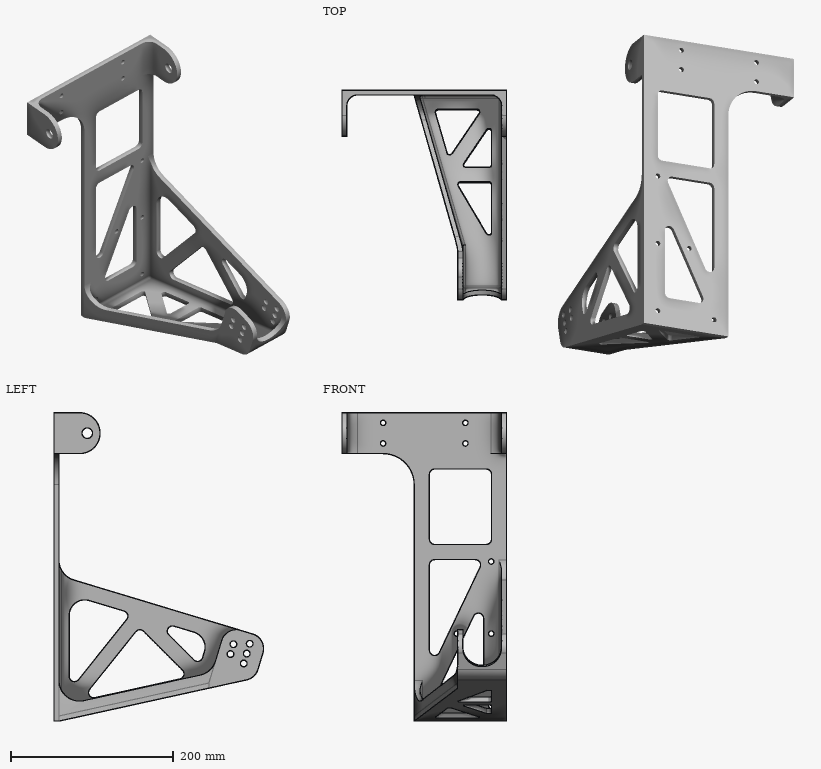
import cadquery as cq
import math


TOTAL_WIDTH = 203.45
TOTAL_REACH = 258.97
TOTAL_HEIGHT = 381.0

BACK_THICKNESS = 6.35
WALL_THICKNESS = 6.35
FLOOR_THICKNESS = 6.35
RIM = 19.05
RIGHT_RIM = 18.8
RIB_WIDTH = 18.4
WINDOW_RADIUS = 6.35
FLOOR_WINDOW_RADIUS = 3.175
INSIDE_FILLET = 3.175
TIP_RADIUS = 19.05
LARGE_RADIUS = 25.4

COLUMN_WIDTH = 114.3
HEAD_HEIGHT = 50.8
HEAD_CORNER_RADIUS = 38.1
EAR_REACH = 57.15
EAR_BEND_RADIUS = 12.7
EAR_HOLE_DIAMETER = 12.7
EAR_HOLE_REACH = 41.275
BOLT_DIAMETER = 6.35
HEAD_BOLT_SPACING_X = 101.6
HEAD_BOLT_SPACING_Z = 25.4
BIG_WINDOW_BOTTOM = 218.4
BACK_DIAGONAL_ANGLE = 64.5
BACK_DIAGONAL_X = -60.1
BACK_DIAGONAL_Z = 89.0
LOWER_WINDOW_BOTTOM = 38.1
LOWER_BOLT_X = 19.05
LOWER_BOLT_START = 19.05
LOWER_BOLT_PITCH = 89.05
MIDDLE_BOLT_X = 61.5

ARM_WIDTH = 60.5
ARM_ROOT_HEIGHT = 180.0
TOP_SLOPE = 16.8
FLOOR_SLOPE = 12.4
HINGE_SETBACK = 53.3
FLANGE_HEIGHT = 18.2
FRONT_WINDOW_SETBACK = 69.9
SIDE_DIAGONAL_ANGLE = 51.3
SIDE_DIAGONAL_REACH = 73.3
SIDE_DIAGONAL_HEIGHT = 75.6
SIDE_FALLING_ANGLE = -45.0
SIDE_FALLING_REACH = 134.9
SIDE_FALLING_HEIGHT = 86.8
TIP_HOLE_DIAMETER = 7.94
TIP_HOLE_PITCH = 12.7
TIP_HOLE_SETBACK = 19.05
SIDE_WINDOW_RADIUS = 19.05
CRADLE_DROP = 12.7
TWISTED_WALL_HEIGHT = 250.0

FLOOR_RIB_START = 92.3
FLOOR_DIAGONAL_ANGLE = 56.5
FLOOR_DIAGONAL_X = -34.9
FLOOR_DIAGONAL_REACH = 60.2
FLOOR_FRONT_ANGLE = 60.0
FLOOR_FRONT_X = -43.0
FLOOR_FRONT_REACH = 144.6



def shift(line, distance):
    """Move a line sideways, positive to the left of its direction."""
    x, y, angle = line
    a = math.radians(angle)
    return (x - distance * math.sin(a), y + distance * math.cos(a), angle)


def along(line, distance):
    """Point at a distance along a line from its start."""
    x, y, angle = line
    a = math.radians(angle)
    return (x + distance * math.cos(a), y + distance * math.sin(a))


def meet(first, second):
    """Crossing point of two lines."""
    x1, y1, angle1 = first
    x2, y2, angle2 = second
    a1 = math.radians(angle1)
    a2 = math.radians(angle2)
    run = ((x2 - x1) * math.sin(a2) - (y2 - y1) * math.cos(a2)) / math.sin(a2 - a1)
    return along(first, run)


def prism(plane, lines, radii, depth):
    """Extrude the loop bounded by successive lines; radii[i] rounds the corner of lines i and i+1."""
    count = len(lines)
    corners = [meet(lines[i], lines[(i + 1) % count]) for i in range(count)]
    solid = cq.Workplane(plane).polyline(corners).close().extrude(depth)
    for corner, radius in zip(corners, radii):
        if radius > 0:
            spot = plane.toWorldCoords((corner[0], corner[1], depth / 2))
            edge = cq.selectors.NearestToPointSelector(spot.toTuple())
            solid = solid.edges(edge).fillet(radius)
    return solid


def box(x_range, y_range, z_range):
    """Block between (low, high) limits on each axis."""
    sizes = [high - low for low, high in (x_range, y_range, z_range)]
    lows = (x_range[0], y_range[0], z_range[0])
    return cq.Workplane("XY").box(*sizes, centered=False).translate(lows)


def side_plane_at(x):
    """Plane at a given x, with reach and height as its axes; extrusion runs to the left."""
    return cq.Plane(origin=(x, 0, 0), xDir=(0, -1, 0), normal=(-1, 0, 0))


FRONT_PLANE = cq.Plane(origin=(0, 0, 0), xDir=(1, 0, 0), normal=(0, -1, 0))
SIDE_PLANE = side_plane_at(0)

slope = math.radians(TOP_SLOPE)
TOP_LINE = (BACK_THICKNESS, ARM_ROOT_HEIGHT, -TOP_SLOPE)
BOTTOM_LINE = (BACK_THICKNESS, 0, FLOOR_SLOPE)
FLOOR_TOP_LINE = shift(BOTTOM_LINE, FLOOR_THICKNESS)
FLANGE_TOP_LINE = shift(BOTTOM_LINE, FLANGE_HEIGHT)
BACK_LINE = (BACK_THICKNESS, 0, 90)
CEILING_LINE = (0, TWISTED_WALL_HEIGHT, 0)
TIP_CORNER_REACH = TOTAL_REACH + TIP_RADIUS * (math.cos(slope) + math.sin(slope) - 1)
TIP_CORNER = meet(TOP_LINE, (TIP_CORNER_REACH, 0, 90))
TIP_LINE = (*TIP_CORNER, 90 - TOP_SLOPE)
HINGE_LINE = shift(TIP_LINE, HINGE_SETBACK)
HINGE_FOOT = meet(HINGE_LINE, FLOOR_TOP_LINE)


def tip_point(setback, drop):
    """Point measured back along the top edge and square down from the tip corner."""
    return along(shift(TIP_LINE, setback), -drop)


def make_back_plate():
    """Wide head over a narrower column, with a rounded inner corner between them."""
    head = box((-TOTAL_WIDTH, 0), (-BACK_THICKNESS, 0), (TOTAL_HEIGHT - HEAD_HEIGHT, TOTAL_HEIGHT))
    column = box((-COLUMN_WIDTH, 0), (-BACK_THICKNESS, 0), (0, TOTAL_HEIGHT))
    corner = (-COLUMN_WIDTH, -BACK_THICKNESS / 2, TOTAL_HEIGHT - HEAD_HEIGHT)
    inner_corner = cq.selectors.NearestToPointSelector(corner)
    return head.union(column).edges(inner_corner).fillet(HEAD_CORNER_RADIUS)


def make_hanger_ears():
    """Two round-ended ears bent forward from the head, each with a pivot hole."""
    middle = TOTAL_HEIGHT - HEAD_HEIGHT / 2
    round_radius = HEAD_HEIGHT / 2
    ear_profile = (
        cq.Workplane(SIDE_PLANE)
        .moveTo(0, middle - round_radius)
        .lineTo(EAR_REACH - round_radius, middle - round_radius)
        .threePointArc((EAR_REACH, middle), (EAR_REACH - round_radius, middle + round_radius))
        .lineTo(0, middle + round_radius)
        .close()
        .extrude(TOTAL_WIDTH)
    )
    gap = box(
        (-TOTAL_WIDTH + WALL_THICKNESS, -WALL_THICKNESS),
        (-TOTAL_REACH, -BACK_THICKNESS),
        (0, TOTAL_HEIGHT),
    )
    gap = gap.edges("|Z and >Y").fillet(EAR_BEND_RADIUS)
    hole = (
        cq.Workplane(SIDE_PLANE)
        .center(EAR_HOLE_REACH, middle)
        .circle(EAR_HOLE_DIAMETER / 2)
        .extrude(TOTAL_WIDTH)
    )
    return ear_profile.cut(gap).cut(hole)


def make_arm_block(width):
    """Full side outline of the arm, starting at the right face."""
    lines = [BOTTOM_LINE, TIP_LINE, TOP_LINE, BACK_LINE]
    return prism(SIDE_PLANE, lines, [TIP_RADIUS, TIP_RADIUS, 0, 0], width)


def make_root_blend(width):
    """Concave round where the top edge of the side plate runs into the back plate."""
    half_turn = math.radians(90 - TOP_SLOPE) / 2
    tangent = LARGE_RADIUS * math.tan(half_turn)
    root = meet(BACK_LINE, TOP_LINE)
    high = (root[0], root[1] + tangent)
    low = along(TOP_LINE, tangent)
    centre = (high[0] + LARGE_RADIUS, high[1])
    middle_angle = math.pi + half_turn
    middle = (
        centre[0] + LARGE_RADIUS * math.cos(middle_angle),
        centre[1] + LARGE_RADIUS * math.sin(middle_angle),
    )
    profile = cq.Workplane(SIDE_PLANE).moveTo(*root).lineTo(*high).threePointArc(middle, low)
    return profile.close().extrude(width)


def make_twisted_wall(offset, thickness):
    """Wall along the slanted left edge, upright at the back plate and leaning with the hinge line."""
    foot = meet(BACK_LINE, FLOOR_TOP_LINE)
    head = (foot[0], foot[1] + TWISTED_WALL_HEIGHT)
    hinge_head = along((*HINGE_FOOT, HINGE_LINE[2]), TWISTED_WALL_HEIGHT)

    def section(edge_x, low, high):
        left_x = edge_x + offset
        right_x = left_x + thickness
        corners = [(left_x, low), (right_x, low), (right_x, high), (left_x, high)]
        return cq.Wire.makePolygon([cq.Vector(x, -reach, z) for x, (reach, z) in corners], close=True)

    rear = section(-COLUMN_WIDTH, foot, head)
    front = section(-ARM_WIDTH, HINGE_FOOT, hinge_head)
    return cq.Workplane(cq.Solid.makeLoft([rear, front], True))


def make_hollow(width):
    """Clear space between upright walls inside the arm, rounded along its edges."""
    lip_inner_line = shift(TIP_LINE, WALL_THICKNESS)
    lines = [FLOOR_TOP_LINE, lip_inner_line, CEILING_LINE, BACK_LINE]
    hollow = prism(side_plane_at(-WALL_THICKNESS), lines, [0, 0, 0, 0], width)
    return hollow.edges("not >Z").fillet(INSIDE_FILLET)


def make_flange_hollow():
    """Clear space behind the hinge line, bounded on the left by the twisted wall."""
    lines = [FLOOR_TOP_LINE, HINGE_LINE, CEILING_LINE, BACK_LINE]
    hollow = prism(side_plane_at(-ARM_WIDTH / 2), lines, [0, 0, 0, 0], COLUMN_WIDTH)
    hollow = hollow.cut(make_twisted_wall(WALL_THICKNESS - COLUMN_WIDTH, COLUMN_WIDTH))
    reach, height = meet(BACK_LINE, FLOOR_TOP_LINE)
    corner = cq.selectors.NearestToPointSelector((WALL_THICKNESS - COLUMN_WIDTH, -reach, height))
    return hollow.vertices(corner).ancestors("Edge").fillet(INSIDE_FILLET)


def make_tray():
    """Side plate, floor and front lip: the arm block, hollowed with rounded inside corners."""
    tray = make_arm_block(COLUMN_WIDTH).union(make_root_blend(COLUMN_WIDTH))
    plan = (
        cq.Workplane("XY")
        .polyline([
            (0, -BACK_THICKNESS),
            (-COLUMN_WIDTH, -BACK_THICKNESS),
            (-ARM_WIDTH, -HINGE_FOOT[0]),
            (-ARM_WIDTH, -TOTAL_REACH),
            (0, -TOTAL_REACH),
        ])
        .close()
        .extrude(TOTAL_HEIGHT)
    )
    return tray.cut(make_hollow(COLUMN_WIDTH)).intersect(plan)


def cut_cradle(arm):
    """Round-bottomed opening through the lip, as wide as the gap between the tip ears."""
    cradle_radius = ARM_WIDTH / 2 - WALL_THICKNESS
    mouth = cq.Plane(
        origin=(-ARM_WIDTH / 2, -TIP_CORNER[0], TIP_CORNER[1]),
        xDir=(1, 0, 0),
        normal=(0, -math.cos(slope), -math.sin(slope)),
    )
    opening = (
        cq.Workplane(mouth)
        .moveTo(-cradle_radius, 0)
        .lineTo(-cradle_radius, -CRADLE_DROP)
        .threePointArc((0, -CRADLE_DROP - cradle_radius), (cradle_radius, -CRADLE_DROP))
        .lineTo(cradle_radius, 0)
        .close()
        .extrude(-2 * WALL_THICKNESS)
    )
    return arm.cut(opening)


def make_left_ear():
    """Ear at the tip, facing the end of the right side plate."""
    lines = [BOTTOM_LINE, TIP_LINE, TOP_LINE, HINGE_LINE]
    depth = WALL_THICKNESS + INSIDE_FILLET
    plane = side_plane_at(depth - ARM_WIDTH)
    ear = prism(plane, lines, [TIP_RADIUS, TIP_RADIUS, TIP_RADIUS, 0], depth)
    return ear.cut(make_hollow(ARM_WIDTH - 2 * WALL_THICKNESS))


def make_left_flange():
    """Low twisted wall that sweeps up into the back plate and the left ear."""
    wall = make_twisted_wall(0, WALL_THICKNESS + 2 * INSIDE_FILLET)
    lines = [FLANGE_TOP_LINE, HINGE_LINE, (0, TOTAL_HEIGHT, 0), BACK_LINE]
    clearance = prism(SIDE_PLANE, lines, [LARGE_RADIUS, 0, 0, LARGE_RADIUS], COLUMN_WIDTH)
    return wall.cut(clearance).cut(make_flange_hollow())


def cut_back_plate(body):
    """Windows and bolt holes through the back plate."""
    rim_right = -RIGHT_RIM
    rim_left = -COLUMN_WIDTH + RIM
    window_top = TOTAL_HEIGHT - HEAD_HEIGHT - RIM
    left = (rim_left, 0, 90)
    big = [left, (0, window_top, 0), (rim_right, 0, 90), (0, BIG_WINDOW_BOTTOM, 0)]
    diagonal = (BACK_DIAGONAL_X, BACK_DIAGONAL_Z, BACK_DIAGONAL_ANGLE)
    upper = [left, (0, BIG_WINDOW_BOTTOM - RIM, 0), shift(diagonal, RIM)]
    inner_right = -RIM - BACK_THICKNESS - INSIDE_FILLET
    lower = [diagonal, (inner_right, 0, 90), (0, LOWER_WINDOW_BOTTOM, 0)]
    for lines in (big, upper, lower):
        body = body.cut(prism(FRONT_PLANE, lines, [WINDOW_RADIUS] * len(lines), BACK_THICKNESS))

    head_bolts = [
        (-TOTAL_WIDTH / 2 + i * HEAD_BOLT_SPACING_X / 2,
         TOTAL_HEIGHT - HEAD_HEIGHT / 2 + j * HEAD_BOLT_SPACING_Z / 2)
        for i in (-1, 1) for j in (-1, 1)
    ]
    bolt_heights = [LOWER_BOLT_START + row * LOWER_BOLT_PITCH for row in range(3)]
    lower_bolts = [(-LOWER_BOLT_X, height) for height in bolt_heights]
    left_bolts = [(rim_left, bolt_heights[0]), (-MIDDLE_BOLT_X, bolt_heights[1])]
    bolts = (
        cq.Workplane(FRONT_PLANE)
        .pushPoints(head_bolts + lower_bolts + left_bolts)
        .circle(BOLT_DIAMETER / 2)
        .extrude(BACK_THICKNESS)
    )
    return body.cut(bolts)


def cut_side_plate(body):
    """Three windows separated by two diagonal ribs."""
    top = shift(TOP_LINE, -RIM)
    rising = (SIDE_DIAGONAL_REACH, SIDE_DIAGONAL_HEIGHT, SIDE_DIAGONAL_ANGLE)
    falling = (SIDE_FALLING_REACH, SIDE_FALLING_HEIGHT, SIDE_FALLING_ANGLE)
    rear = [(RIM, 0, 90), top, shift(rising, RIB_WIDTH)]
    middle = [rising, falling, shift(BOTTOM_LINE, RIM)]
    front = [shift(falling, RIM), top, shift(TIP_LINE, FRONT_WINDOW_SETBACK)]
    small = WINDOW_RADIUS
    body = body.cut(prism(SIDE_PLANE, rear, [SIDE_WINDOW_RADIUS, small, small], WALL_THICKNESS))
    body = body.cut(prism(SIDE_PLANE, middle, [small, small, small], WALL_THICKNESS))
    return body.cut(prism(SIDE_PLANE, front, [small, SIDE_WINDOW_RADIUS, small], WALL_THICKNESS))


def cut_tip_holes(body):
    """Two staggered columns of holes through both tip ears."""
    front_column = [tip_point(TIP_HOLE_SETBACK, TIP_HOLE_PITCH * row) for row in (1, 2, 3)]
    rear_column = [tip_point(2 * TIP_HOLE_SETBACK, TIP_HOLE_PITCH * row) for row in (1.5, 2.5)]
    holes = (
        cq.Workplane(SIDE_PLANE)
        .pushPoints(front_column + rear_column)
        .circle(TIP_HOLE_DIAMETER / 2)
        .extrude(ARM_WIDTH)
    )
    return body.cut(holes)


def cut_floor(body):
    """Triangular windows cut square to the sloping floor."""
    tilt = math.radians(FLOOR_SLOPE)
    start_reach, start_height, _ = FLOOR_TOP_LINE
    plane = cq.Plane(
        origin=(0, -start_reach, start_height),
        xDir=(1, 0, 0),
        normal=(0, -math.sin(tilt), -math.cos(tilt)),
    )
    lean = HINGE_FOOT[0] - BACK_THICKNESS
    edge_angle = math.degrees(math.atan2(lean / math.cos(tilt), COLUMN_WIDTH - ARM_WIDTH))
    edge = shift((-COLUMN_WIDTH, 0, edge_angle), -RIM)
    right = (-RIGHT_RIM, 0, 90)
    diagonal = (FLOOR_DIAGONAL_X, FLOOR_DIAGONAL_REACH, -FLOOR_DIAGONAL_ANGLE)
    rear = [edge, (0, RIM, 0), shift(diagonal, -RIM)]
    middle = [diagonal, right, (0, FLOOR_RIB_START, 0)]
    front_slant = (FLOOR_FRONT_X, FLOOR_FRONT_REACH, FLOOR_FRONT_ANGLE)
    front = [(0, FLOOR_RIB_START + RIB_WIDTH, 0), right, front_slant]
    for lines in (rear, middle, front):
        body = body.cut(prism(plane, lines, [FLOOR_WINDOW_RADIUS] * len(lines), FLOOR_THICKNESS))
    return body


body = make_back_plate().union(make_hanger_ears())
arm = make_tray().union(make_left_ear()).union(make_left_flange())
body = body.union(cut_cradle(arm))
body = cut_back_plate(body)
body = cut_side_plate(body)
body = cut_tip_holes(body)
body = cut_floor(body)
result = body